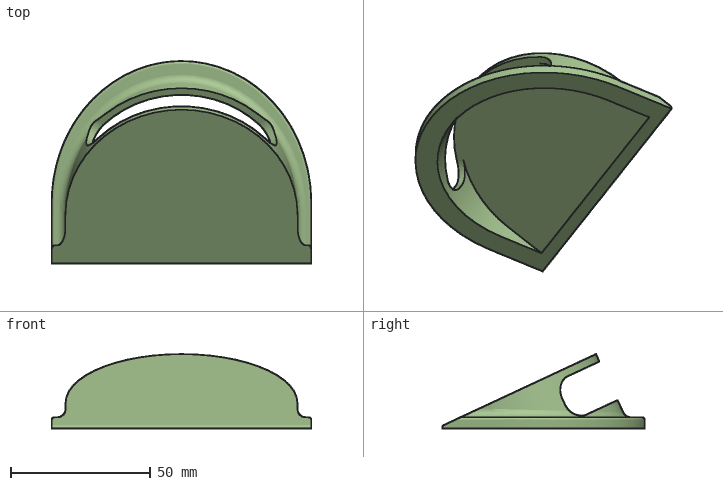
import cadquery as cq
import math

tilt = 25.0
hood_radius = 41.7
wall = 2.7
lid_thickness = 3.0
lid_height = 10.16
flange_width = 5.0
flange_thickness = 4.1
rim_radius = 1.0
root_radius = 3.0
front_y = -21.83
nose_radius = 1.0
slot_floor = -8.1
slot_end_angle = 35.0
slot_corner_radius = 6.5

slope = math.radians(tilt)
lid_underside = lid_height - lid_thickness
flange_half_width = hood_radius + flange_width
flange_depth = hood_radius / math.cos(slope) + flange_width
reach = 100.0


def tilted(body):
    """Turn a body built upright about the X axis, so that its Z axis stands square to the lid."""
    return body.rotate((0, 0, 0), (1, 0, 0), tilt)


def tilted_prism(radius, top):
    """Half disc with straight sides running forward, extruded square to the lid up to its top."""
    upright = (
        cq.Workplane("XY")
        .workplane(offset=-reach)
        .moveTo(-radius, -reach)
        .lineTo(-radius, 0)
        .threePointArc((0, radius), (radius, 0))
        .lineTo(radius, -reach)
        .close()
        .extrude(top + reach)
    )
    return tilted(upright)


def make_flange():
    """Flat flange with a half ellipse at the back, straight sides and a rounded top edge."""
    flange = (
        cq.Workplane("XY")
        .moveTo(flange_half_width, 0)
        .ellipseArc(flange_half_width, flange_depth, 0, 180, startAtCurrent=True)
        .lineTo(-flange_half_width, front_y)
        .lineTo(flange_half_width, front_y)
        .close()
        .extrude(flange_thickness)
    )
    return flange.faces(">Z").edges("not <Y").fillet(rim_radius)


def make_hood():
    """Solid hood, standing on Z = 0 and ending flush with the front edge of the flange."""
    envelope = (
        cq.Workplane("XY")
        .box(2 * reach, reach - front_y, reach / 2, centered=(True, False, False))
        .translate((0, front_y, 0))
    )
    return tilted_prism(hood_radius, reach).intersect(envelope)


def add_root_fillet(body):
    """Fillet the corner between hood wall and flange; the arc leads on into its tangent side edges."""
    flange_top_centre = (0, 0, flange_thickness)
    root_arc = body.edges("%ELLIPSE").edges(cq.selectors.NearestToPointSelector(flange_top_centre))
    return root_arc.fillet(root_radius)


def trim_to_lid(body):
    """Cut everything above the sloping lid, then round its lower front edge."""
    above_lid = tilted(
        cq.Workplane("XY")
        .workplane(offset=lid_height)
        .rect(2 * reach, 2 * reach)
        .extrude(reach)
    )
    return body.cut(above_lid).faces("<Y").edges(">Z").fillet(nose_radius)


def make_slot():
    """Wedge through the back wall, directly below the lid, with rounded corners at both ends."""
    end_angle = math.radians(slot_end_angle)
    end_x = reach * math.cos(end_angle)
    end_y = reach * math.sin(end_angle)
    wedge = (
        cq.Workplane("XY")
        .workplane(offset=slot_floor)
        .polyline([(0, 0), (end_x, end_y), (-end_x, end_y)])
        .close()
        .extrude(lid_underside - slot_floor)
    )
    return tilted(wedge.edges("not(|X or |Z)").fillet(slot_corner_radius))


solid_body = trim_to_lid(add_root_fillet(make_flange().union(make_hood())))
cavity = tilted_prism(hood_radius - wall, lid_underside)
result = solid_body.cut(cavity).cut(make_slot())